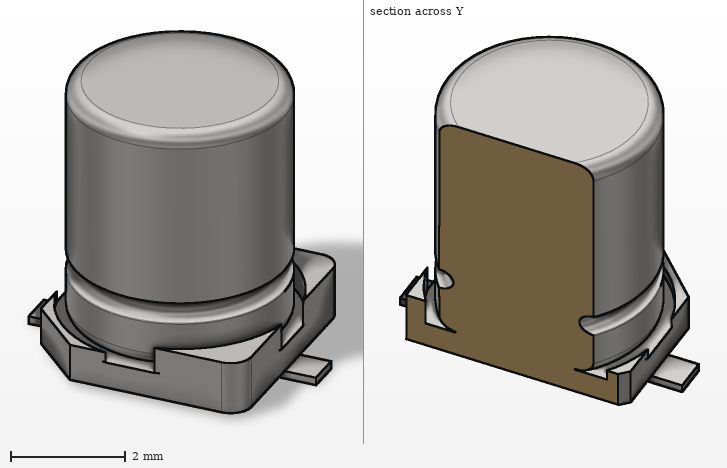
import cadquery as cq

total_height = 5.3

lead_span = 5.5
lead_width = 0.66
lead_thickness = 0.15
lead_gap = 1.0

base_side = 4.3
base_chamfer = 1.0
base_corner_radius = 0.4
low_wall_height = 0.7
high_wall_height = 1.0
recess_depth = 0.2
recess_radius = 2.2
base_bottom = lead_thickness
recess_floor = base_bottom + low_wall_height - recess_depth

can_radius = 2.0
can_edge_radius = 0.27
groove_radius = 0.2
groove_lip_radius = 0.015
groove_center_height = 1.75


def make_base():
    """Square base, chamfered at -X, rounded and taller at +X, with a round seat for the can."""
    base = (
        cq.Workplane("XY")
        .workplane(offset=base_bottom)
        .rect(base_side, base_side)
        .extrude(high_wall_height)
        .edges("|Z and <X")
        .chamfer(base_chamfer)
        .edges("|Z and >X and (>Y or <Y)")
        .fillet(base_corner_radius)
    )
    lowered_half = (
        cq.Workplane("XY")
        .workplane(offset=base_bottom + low_wall_height)
        .center(-base_side / 2, 0)
        .rect(base_side, base_side)
        .extrude(high_wall_height)
    )
    seat = (
        cq.Workplane("XY")
        .workplane(offset=recess_floor)
        .circle(recess_radius)
        .extrude(high_wall_height)
    )
    return base.cut(lowered_half).cut(seat)


def make_can():
    """Cylindrical can with rounded ends and a half-round crimp groove with softened lips."""
    can = (
        cq.Workplane("XY")
        .workplane(offset=recess_floor)
        .circle(can_radius)
        .extrude(total_height - recess_floor)
        .faces("<Z or >Z")
        .edges()
        .fillet(can_edge_radius)
    )
    groove = (
        cq.Workplane("XZ")
        .center(can_radius, groove_center_height)
        .circle(groove_radius)
        .revolve(360, (-can_radius, 0), (-can_radius, 1))
    )
    zone_radius = can_radius / 2
    zone_bottom = groove_center_height - 2 * groove_radius
    zone_top = groove_center_height + 2 * groove_radius
    lip_zone = cq.selectors.BoxSelector(
        (-zone_radius, -zone_radius, zone_bottom),
        (zone_radius, zone_radius, zone_top),
    )
    return can.cut(groove).edges(lip_zone).fillet(groove_lip_radius)


def make_lead(side):
    """Flat lead with a rounded inner end; side is +1 for +X and -1 for -X."""
    outer_x = side * lead_span / 2
    inner_x = side * lead_gap / 2
    half_width = lead_width / 2
    arc_start_x = inner_x + side * half_width
    return (
        cq.Workplane("XY")
        .moveTo(outer_x, -half_width)
        .lineTo(arc_start_x, -half_width)
        .threePointArc((inner_x, 0), (arc_start_x, half_width))
        .lineTo(outer_x, half_width)
        .close()
        .extrude(lead_thickness)
    )


result = make_base().union(make_can())
for lead_side in (-1, 1):
    result = result.union(make_lead(lead_side))